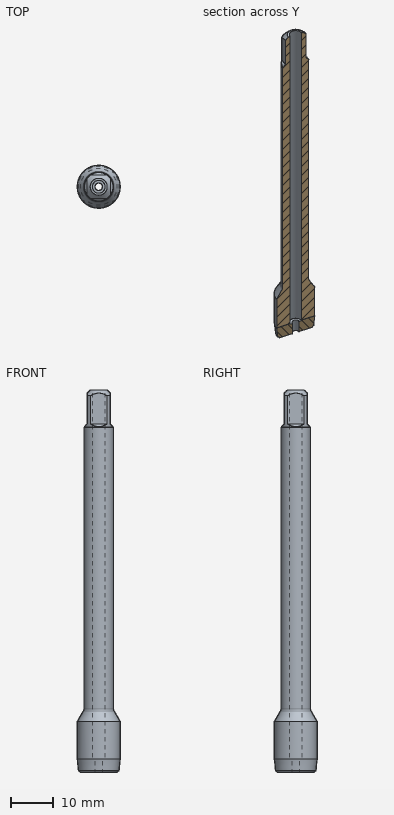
import cadquery as cq
import math

total_length = 90.0
head_dia = 10.16
shaft_dia = 7.0

square_width = 5.5
square_corner_dia = 6.72
square_bottom_z = 82.0
shaft_top_z = 81.15
shaft_top_chamfer_height = 0.14
tip_dia = 4.0
tip_angle = 45.0
flat_runout_angle = 45.0

cone_bottom_z = 12.0
cone_half_angle = 30.0
neck_fillet_radius = 1.0

cap_height = 3.2
cap_bottom_dia = 9.6
cap_chamfer = 0.5

shaft_bore_dia = 3.0
cap_bore_dia = 1.7

head_radius = head_dia / 2
shaft_radius = shaft_dia / 2
corner_radius = square_corner_dia / 2
tip_radius = tip_dia / 2
shaft_bore_radius = shaft_bore_dia / 2
cap_bottom_radius = cap_bottom_dia / 2
cap_bore_radius = cap_bore_dia / 2
tip_height = (corner_radius - tip_radius) * math.tan(math.radians(tip_angle))

half_angle = math.radians(cone_half_angle)
cone_top_z = cone_bottom_z + (head_radius - shaft_radius) / math.tan(half_angle)
neck_top_z = cone_top_z + neck_fillet_radius * math.tan(half_angle / 2)


def neck_point(angle):
    """Radius and height on the neck fillet, turned by angle from its top end."""
    radius = shaft_radius + neck_fillet_radius * (1 - math.cos(angle))
    return (radius, neck_top_z - neck_fillet_radius * math.sin(angle))


def revolve_about_z(profile):
    return profile.close().revolve(360, (0, 0, 0), (0, 1, 0))


def make_turned_body():
    """Head, shaft and round drive blank with the bore through them."""
    profile = (
        cq.Workplane("XZ")
        .polyline([
            (shaft_bore_radius, cap_height),
            (head_radius, cap_height),
            (head_radius, cone_bottom_z),
            neck_point(half_angle),
        ])
        .threePointArc(neck_point(half_angle / 2), neck_point(0))
        .lineTo(shaft_radius, shaft_top_z)
        .lineTo(corner_radius, shaft_top_z + shaft_top_chamfer_height)
        .lineTo(corner_radius, total_length - tip_height)
        .lineTo(tip_radius, total_length)
        .lineTo(shaft_bore_radius, total_length)
    )
    return revolve_about_z(profile)


def make_flat_cutter():
    """Material outside the +X flat, ending below in a slope that runs out through the shaft."""
    flat_x = square_width / 2
    outer_x = head_radius
    runout_drop = (outer_x - flat_x) / math.tan(math.radians(flat_runout_angle))
    return (
        cq.Workplane("XZ")
        .polyline([
            (flat_x, square_bottom_z),
            (outer_x, square_bottom_z - runout_drop),
            (outer_x, total_length),
            (flat_x, total_length),
        ])
        .close()
        .extrude(head_radius, both=True)
    )


def make_extension():
    extension = make_turned_body()
    flat_cutter = make_flat_cutter()
    for turn in (0, 90, 180, 270):
        extension = extension.cut(flat_cutter.rotate((0, 0, 0), (0, 0, 1), turn))
    return extension


def make_cap():
    """Tapered end cap with a chamfered lower rim and the small bore."""
    profile = cq.Workplane("XZ").polyline([
        (cap_bore_radius, 0),
        (cap_bottom_radius - cap_chamfer, 0),
        (cap_bottom_radius, cap_chamfer),
        (head_radius, cap_height),
        (cap_bore_radius, cap_height),
    ])
    return revolve_about_z(profile)


extension = make_extension()
cap = make_cap()
result = cq.Compound.makeCompound([extension.solids().val(), cap.val()])